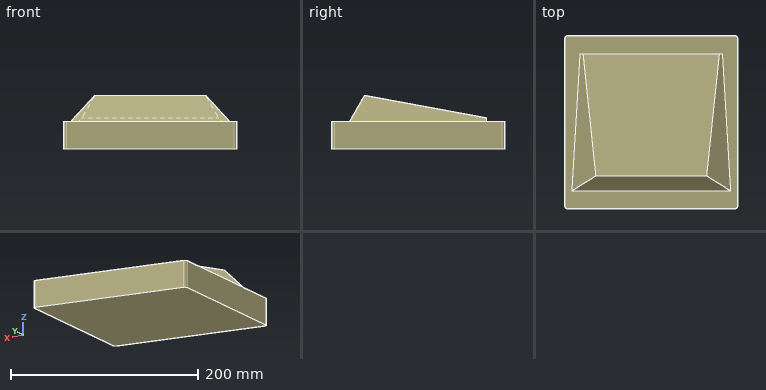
import cadquery as cq

plate_side = 185.0
plate_height = 29.8
corner_radius = 3.1

overall_height = 57.5
wedge_height = overall_height - plate_height
front_y = -73.3
ridge_y = -57.4
back_y = 72.9
back_height = 3.7
front_half_width = 84.7
back_half_width = 76.0
side_lean = 24.6


def make_plate():
    plate = cq.Workplane("XY").box(plate_side, plate_side, plate_height, centered=(True, True, False))
    return plate.edges("|Z").fillet(corner_radius)


def wedge_outline(inset):
    """Corners of the tapered wedge outline with its sides moved inward."""
    front = front_half_width - inset
    back = back_half_width - inset
    return [(-front, front_y), (front, front_y), (back, back_y), (-back, back_y)]


def make_wedge():
    profile = (
        cq.Workplane("YZ")
        .workplane(origin=(0, 0, plate_height))
        .polyline([(front_y, 0), (back_y, 0), (back_y, back_height), (ridge_y, wedge_height)])
        .close()
        .extrude(plate_side / 2, both=True)
    )
    leaning_sides = (
        cq.Workplane("XY", origin=(0, 0, plate_height))
        .polyline(wedge_outline(0))
        .close()
        .workplane(offset=wedge_height)
        .polyline(wedge_outline(side_lean))
        .close()
        .loft(ruled=True)
    )
    return profile.intersect(leaning_sides)


result = make_plate().union(make_wedge())